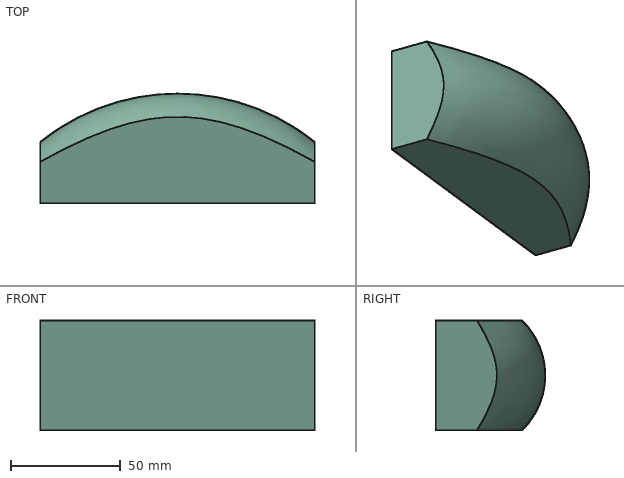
import cadquery as cq
import math

length = 125.0
depth = 50.0
height = 50.0
half_length = length / 2
half_height = height / 2

end_sag = 22.1
side_sag = 10.6
corner_sag = 31.1

overlap = 0.6
grid_steps = 24


def arc_sag(distance, span, sag):
    """Drop of a circular arc that falls by sag at the given span."""
    radius = (span**2 + sag**2) / (2 * sag)
    return radius - math.sqrt(radius**2 - distance**2)


def hyperbola_sag(distance, span, sag):
    """Drop of a hyperbola that falls by sag at the given span."""
    fullness = math.sqrt(1 + (distance / span) ** 2) - 1
    return sag * fullness / (math.sqrt(2) - 1)


def crown_point(x, z):
    """Blend the central arcs and the rim hyperbolas into one smooth crown."""
    u = (x / half_length) ** 2
    v = (z / half_height) ** 2
    middle_x = arc_sag(x, half_length, end_sag)
    rim_x = side_sag + hyperbola_sag(x, half_length, corner_sag - side_sag)
    middle_z = arc_sag(z, half_height, side_sag)
    rim_z = end_sag + hyperbola_sag(z, half_height, corner_sag - end_sag)
    along_x = (1 - v) * middle_x + v * rim_x
    along_z = (1 - u) * middle_z + u * rim_z
    corners = u * (1 - v) * end_sag + v * (1 - u) * side_sag + u * v * corner_sag
    return cq.Vector(x, depth - (along_x + along_z - corners), z)


def grid_places(half_span):
    """Evenly spaced places that reach just past both edges of the block."""
    reach = half_span + overlap
    return [reach * (2 * i / grid_steps - 1) for i in range(grid_steps + 1)]


crown_grid = [[crown_point(x, z) for z in grid_places(half_height)] for x in grid_places(half_length)]
crown = cq.Face.makeSplineApprox(crown_grid, tol=0.005)

behind_crown = cq.Solid.extrudeLinear(crown, cq.Vector(0, -2 * depth, 0))
block = cq.Workplane("XY").box(length, 2 * depth, height).translate((0, depth, 0))
result = block.intersect(cq.Workplane(obj=behind_crown))